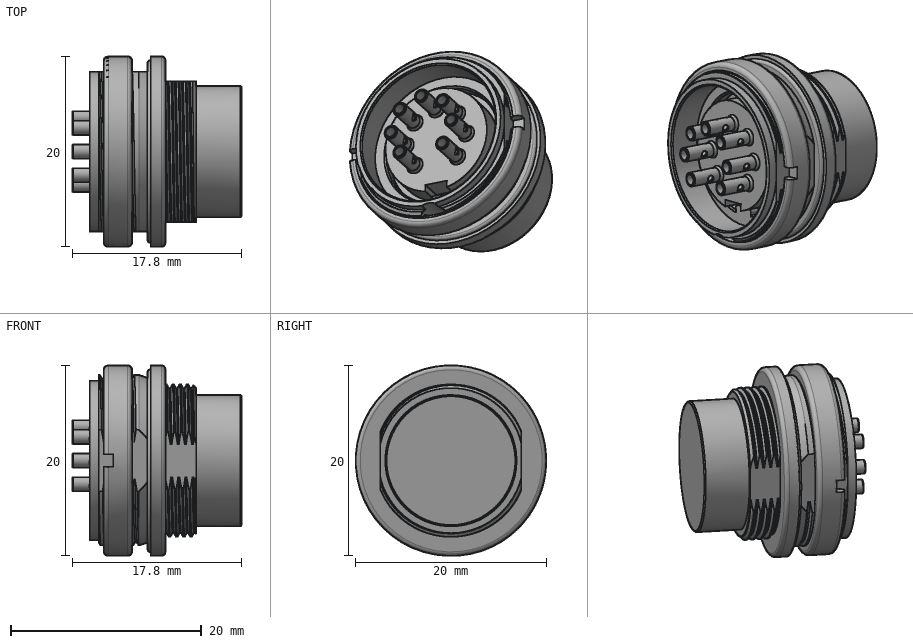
import cadquery as cq
import math


LENGTH = 17.8
X_BODY = 1.85
X_REAR_THREAD = 2.8
X_NUT = 3.3
X_INSERT = 3.8
X_FLOOR = 5.2
X_GAP_FLOOR = 6.5
X_RELIEF = 7.0
X_GASKET = 7.9
X_FLANGE = 8.25
X_FRONT_THREAD = 9.8
X_SHELL = 13.0

TUBE_R = 16.8 / 2
BORE_R = 15.5 / 2
FLANGE_R = 20 / 2
FLANGE_ROUND = 0.45
GASKET_R = 19.2 / 2
GASKET_ROUND = 0.34
SHELL_R = 13.8 / 2
SHELL_CHAMFER = 0.15
MOUTH_CHAMFER = 0.15
RELIEF_R = 8.7

REAR_CREST_R = 18 / 2
REAR_ROOT_R = 8.63
REAR_PITCH = 1.0
REAR_GROOVE_X = 3.2
REAR_TURNS_BEFORE = 1
REAR_TURNS_AFTER = 3.75
REAR_FLAT_Y = TUBE_R
NUT_R = 20 / 2
NUT_WIDTH = 3.0
NUT_ROUND = 0.5
NUT_BORE_R = 8.7
NUT_LEAD_R = 18.3 / 2
NUT_SLOT_WIDTH = 1.3
NUT_SLOT_DEPTH = 1.0
KEYWAY_R = 1.8
KEYWAY_DEPTH_R = 8.2

FRONT_CREST_R = 16 / 2
FRONT_ROOT_R = 7.6
FRONT_PITCH = 0.75
FRONT_GROOVE_X = 10.225
FRONT_TURNS_BEFORE = 1
FRONT_TURNS_AFTER = 4
FRONT_CHAMFER = 0.38
FRONT_FLAT_Y = 7.4

THREAD_HALF_ANGLE = 30
GROOVE_CLEARANCE = 0.05
ROOT_FLAT_RATIO = 1 / 5

INSERT_R = 5.88
GAP_R = 6.54
GAP_CHAMFER = 0.18
KEY_WIDTH = 2.5
KEY_TIP_Z = 5.73
KEY_CORNER = 0.4
NOTCH_Z = 5.0

PIN_CIRCLE_R = 3.5
PIN_ANGLES = [0, 45, 90, 135, 180, 225, 315]
PIN_R = 1.5 / 2
PIN_CHAMFER = 0.1
COLLAR_R = 1.82 / 2
COLLAR_LENGTH = 0.35
CUP_R = 1.1 / 2
CUP_DEPTH = 2.7
CUP_TIP_ANGLE = 118
VENT_R = 0.8 / 2
VENT_X = 2.2
VENT_TILT = 15


def cylinder(x_start, x_end, radius):
    return cq.Workplane("YZ", origin=(x_start, 0, 0)).circle(radius).extrude(x_end - x_start)


def box(x_range, y_range, z_range):
    ranges = (x_range, y_range, z_range)
    sizes = [high - low for low, high in ranges]
    corner = tuple(low for low, high in ranges)
    return cq.Workplane("XY").box(*sizes, centered=False).translate(corner)


def revolve(points):
    """Turn an outline of (x, radius) points around the X axis."""
    return cq.Workplane("XY").polyline(points).close().revolve(360, (0, 0, 0), (1, 0, 0))


def thread_groove(groove_x, turns_before, turns_after, pitch, root_r, crest_r):
    """Right-handed helical groove that passes the top side at groove_x."""
    x_first = groove_x - turns_before * pitch
    turns = turns_before + turns_after
    outer_r = crest_r + GROOVE_CLEARANCE
    root_half = ROOT_FLAT_RATIO * pitch / 2
    outer_half = root_half + (outer_r - root_r) * math.tan(math.radians(THREAD_HALF_ANGLE))
    path = cq.Wire.makeHelix(pitch, turns * pitch, root_r)
    profile = cq.Workplane("XZ").polyline([
        (root_r, -root_half),
        (outer_r, -outer_half),
        (outer_r, outer_half),
        (root_r, root_half),
    ]).close()
    groove = profile.sweep(cq.Workplane(path), isFrenet=True)
    groove = groove.rotate((0, 0, 0), (0, 0, 1), 180)
    groove = groove.rotate((0, 0, 0), (0, 1, 0), 90)
    return groove.translate((x_first, 0, 0))


def cut_side_flats(body, x_start, x_end, flat_y, crest_r):
    for side in (1, -1):
        y_range = sorted((side * flat_y, side * 2 * crest_r))
        body = body.cut(box((x_start, x_end), y_range, (-crest_r, crest_r)))
    return body


def make_rear_body():
    body = revolve([
        (X_BODY, 0),
        (X_BODY, TUBE_R),
        (X_REAR_THREAD, TUBE_R),
        (X_REAR_THREAD, REAR_CREST_R),
        (X_RELIEF, REAR_CREST_R),
        (X_GASKET, RELIEF_R),
        (X_GASKET, 0),
    ])
    groove = thread_groove(REAR_GROOVE_X, REAR_TURNS_BEFORE, REAR_TURNS_AFTER,
                           REAR_PITCH, REAR_ROOT_R, REAR_CREST_R)
    body = body.cut(groove)
    body = cut_side_flats(body, X_REAR_THREAD, X_GASKET, REAR_FLAT_Y, REAR_CREST_R)
    keyway = cylinder(X_BODY, X_GASKET, KEYWAY_R).translate((0, 0, -KEYWAY_DEPTH_R - KEYWAY_R))
    return body.cut(keyway)


def make_front_thread():
    body = cylinder(X_FRONT_THREAD, X_SHELL, FRONT_CREST_R)
    groove = thread_groove(FRONT_GROOVE_X, FRONT_TURNS_BEFORE, FRONT_TURNS_AFTER,
                           FRONT_PITCH, FRONT_ROOT_R, FRONT_CREST_R)
    body = body.cut(groove)
    chamfered = cylinder(X_FRONT_THREAD, X_SHELL, FRONT_CREST_R + GROOVE_CLEARANCE)
    chamfered = chamfered.faces(">X").chamfer(FRONT_CHAMFER + GROOVE_CLEARANCE)
    body = body.intersect(chamfered)
    return cut_side_flats(body, X_FRONT_THREAD, X_SHELL, FRONT_FLAT_Y, FRONT_CREST_R)


def make_flange():
    flange = cylinder(X_FLANGE, X_FRONT_THREAD, FLANGE_R).faces(">X").edges().fillet(FLANGE_ROUND)
    gasket = cylinder(X_GASKET, X_FLANGE, GASKET_R).faces("<X").edges().fillet(GASKET_ROUND)
    return flange.union(gasket)


def make_front_shell():
    return cylinder(X_SHELL, LENGTH, SHELL_R).faces(">X").chamfer(SHELL_CHAMFER)


def make_nut():
    x_end = X_NUT + NUT_WIDTH
    nut = cylinder(X_NUT, x_end, NUT_R).edges().fillet(NUT_ROUND)
    nut = nut.cut(cylinder(X_NUT, x_end, NUT_BORE_R))
    lead = NUT_LEAD_R - NUT_BORE_R
    nut = nut.cut(revolve([
        (X_NUT, 0),
        (X_NUT, NUT_LEAD_R),
        (X_NUT + lead, NUT_BORE_R),
        (X_NUT + lead, 0),
    ]))
    slot_half = NUT_SLOT_WIDTH / 2
    return nut.cut(box((X_NUT, X_NUT + NUT_SLOT_DEPTH), (-NUT_R, NUT_R), (-slot_half, slot_half)))


def make_cavity():
    """Space inside the tube, down to the bottom of the gap around the insert."""
    return revolve([
        (X_BODY, 0),
        (X_BODY, BORE_R + MOUTH_CHAMFER),
        (X_BODY + MOUTH_CHAMFER, BORE_R),
        (X_FLOOR, BORE_R),
        (X_FLOOR, GAP_R + GAP_CHAMFER),
        (X_FLOOR + GAP_CHAMFER, GAP_R),
        (X_GAP_FLOOR, GAP_R),
        (X_GAP_FLOOR, 0),
    ])


def make_insert():
    half = KEY_WIDTH / 2
    insert = cylinder(X_INSERT, X_GAP_FLOOR, INSERT_R)
    return insert.cut(box((X_INSERT, X_GAP_FLOOR), (-half, half), (-INSERT_R, -NOTCH_Z)))


def make_key():
    """Key that stands on the wall of the gap and reaches into the notch of the insert."""
    half = KEY_WIDTH / 2
    z_root = GAP_R + GAP_CHAMFER
    key = box((X_FLOOR, X_GAP_FLOOR), (-half, half), (-z_root, -KEY_TIP_Z))
    return key.faces(">Z").edges("|X").fillet(KEY_CORNER)


def make_pin():
    """Pin on the X axis with a solder cup in its tip and a vent hole on the -Y side."""
    pin = cylinder(0, X_INSERT, PIN_R).faces("<X").chamfer(PIN_CHAMFER)
    collar = revolve([
        (X_INSERT - COLLAR_LENGTH, 0),
        (X_INSERT - COLLAR_LENGTH, PIN_R),
        (X_INSERT, COLLAR_R),
        (X_INSERT, 0),
    ])
    tip_length = CUP_R / math.tan(math.radians(CUP_TIP_ANGLE / 2))
    cup = revolve([
        (0, 0),
        (0, CUP_R),
        (CUP_DEPTH, CUP_R),
        (CUP_DEPTH + tip_length, 0),
    ])
    vent = cq.Workplane("XZ").center(VENT_X, 0).circle(VENT_R).extrude(PIN_R)
    vent = vent.rotate((0, 0, 0), (1, 0, 0), VENT_TILT)
    return pin.union(collar).cut(cup).cut(vent)


shell = make_rear_body().union(make_flange()).union(make_front_thread()).union(make_front_shell())
result = shell.union(make_nut()).cut(make_cavity()).union(make_insert()).union(make_key())

for angle in PIN_ANGLES:
    pin_y = PIN_CIRCLE_R * math.cos(math.radians(angle))
    pin_z = PIN_CIRCLE_R * math.sin(math.radians(angle))
    result = result.union(make_pin().translate((0, pin_y, pin_z)))